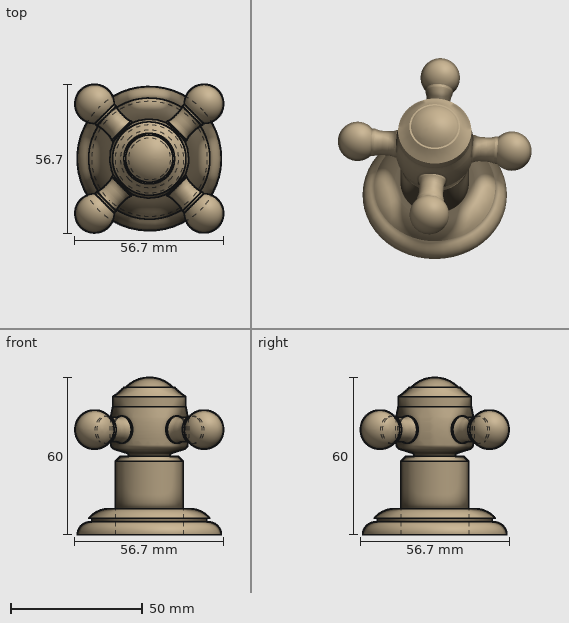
import cadquery as cq
import math

foot_radius = 27.5
foot_height = 5.0
foot_round = 5.05
groove_radius = 22.0
groove_top = 6.3
ring_flat_radius = 15.3
ring_round = 10.0
flange_height = ring_round

sleeve_radius = 13.05
sleeve_top = 29.95
sleeve_chamfer = 2.0

arm_z = 40.1

neck_radius = 8.0
neck_fillet_bottom = 30.3
neck_fillet_radius = 0.9
underside_outer_radius = 13.1
underside_outer_z = 32.55
shoulder_radius = 14.65
shoulder_z = 34.1
shoulder_bulge = 0.3
hub_widest_radius = 15.1
hub_widest_z = arm_z
hub_top_radius = 14.0
hub_top = 48.8

arm_count = 4
first_arm_angle = 45
arm_radius = 5.2
waist_radius = 4.6
inner_flare_start = 15.0
waist_start = 17.55
waist_end = 19.95
outer_flare_end = 23.05
ball_radius = 7.5
ball_distance = 29.5

cap_radius = hub_top_radius
band_top = 52.6
bevel_top = 56.2
bevel_top_radius = 9.65
bevel_hollow = 0.2
dome_radius = 9.0
cap_top = 60.05


def bowed_midpoint(start, end, bow):
    """Point beside the middle of a segment, moved by bow to the right of its direction."""
    run = end[0] - start[0]
    rise = end[1] - start[1]
    length = math.hypot(run, rise)
    return (
        (start[0] + end[0]) / 2 + bow * rise / length,
        (start[1] + end[1]) / 2 - bow * run / length,
    )


def make_flange():
    ring_edge_radius = ring_flat_radius + math.sqrt(ring_round**2 - groove_top**2)
    profile = (
        cq.Workplane("XZ")
        .moveTo(sleeve_radius, 0)
        .lineTo(foot_radius, 0)
        .radiusArc((groove_radius, foot_height), -foot_round)
        .lineTo(groove_radius, groove_top)
        .lineTo(ring_edge_radius, groove_top)
        .radiusArc((ring_flat_radius, flange_height), -ring_round)
        .lineTo(sleeve_radius, flange_height)
        .close()
    )
    return profile.revolve(360, (0, 0, 0), (0, 1, 0))


def make_sleeve():
    post = cq.Workplane("XY").circle(sleeve_radius).extrude(sleeve_top)
    return post.faces(">Z").chamfer(sleeve_chamfer)


def make_hub():
    shoulder = (shoulder_radius, shoulder_z)
    underside_inner = (neck_radius + neck_fillet_radius, neck_fillet_bottom + neck_fillet_radius)
    underside_outer = (underside_outer_radius, underside_outer_z)
    profile = (
        cq.Workplane("XZ")
        .moveTo(0, sleeve_top)
        .lineTo(neck_radius, sleeve_top)
        .lineTo(neck_radius, neck_fillet_bottom)
        .radiusArc(underside_inner, neck_fillet_radius)
        .lineTo(*underside_outer)
        .threePointArc(bowed_midpoint(underside_outer, shoulder, shoulder_bulge), shoulder)
        .threePointArc((hub_widest_radius, hub_widest_z), (hub_top_radius, hub_top))
        .lineTo(0, hub_top)
        .close()
    )
    return profile.revolve(360, (0, 0, 0), (0, 1, 0))


def flare_radius(length):
    """Radius of an arc tangent to the waist that reaches the full arm radius over length."""
    rise = arm_radius - waist_radius
    return (length**2 + rise**2) / (2 * rise)


def make_arm():
    """One arm along +X with its ball."""
    ball_start = ball_distance - math.sqrt(ball_radius**2 - arm_radius**2)
    profile = (
        cq.Workplane("XY")
        .lineTo(0, arm_radius)
        .lineTo(inner_flare_start, arm_radius)
        .radiusArc((waist_start, waist_radius), -flare_radius(waist_start - inner_flare_start))
        .lineTo(waist_end, waist_radius)
        .radiusArc((outer_flare_end, arm_radius), -flare_radius(outer_flare_end - waist_end))
        .lineTo(ball_start, arm_radius)
        .threePointArc((ball_distance, ball_radius), (ball_distance + ball_radius, 0))
        .close()
    )
    return profile.revolve(360, (0, 0, 0), (1, 0, 0)).translate((0, 0, arm_z))


def make_handle():
    handle = make_hub()
    arm = make_arm()
    for index in range(arm_count):
        angle = first_arm_angle + index * 360 / arm_count
        handle = handle.union(arm.rotate((0, 0, 0), (0, 0, 1), angle))
    return handle


def make_cap():
    dome_height = cap_top - bevel_top
    dome_sphere_radius = (dome_radius**2 + dome_height**2) / (2 * dome_height)
    bevel_bottom_edge = (cap_radius, band_top)
    bevel_top_edge = (bevel_top_radius, bevel_top)
    profile = (
        cq.Workplane("XZ")
        .moveTo(0, hub_top)
        .lineTo(cap_radius, hub_top)
        .lineTo(*bevel_bottom_edge)
        .threePointArc(bowed_midpoint(bevel_bottom_edge, bevel_top_edge, -bevel_hollow), bevel_top_edge)
        .lineTo(dome_radius, bevel_top)
        .radiusArc((0, cap_top), -dome_sphere_radius)
        .close()
    )
    return profile.revolve(360, (0, 0, 0), (0, 1, 0))


flange = make_flange()
sleeve = make_sleeve()
handle = make_handle()
cap = make_cap()

result = cq.Compound.makeCompound(
    [flange.val(), sleeve.solids().val(), handle.solids().val(), cap.val()]
)